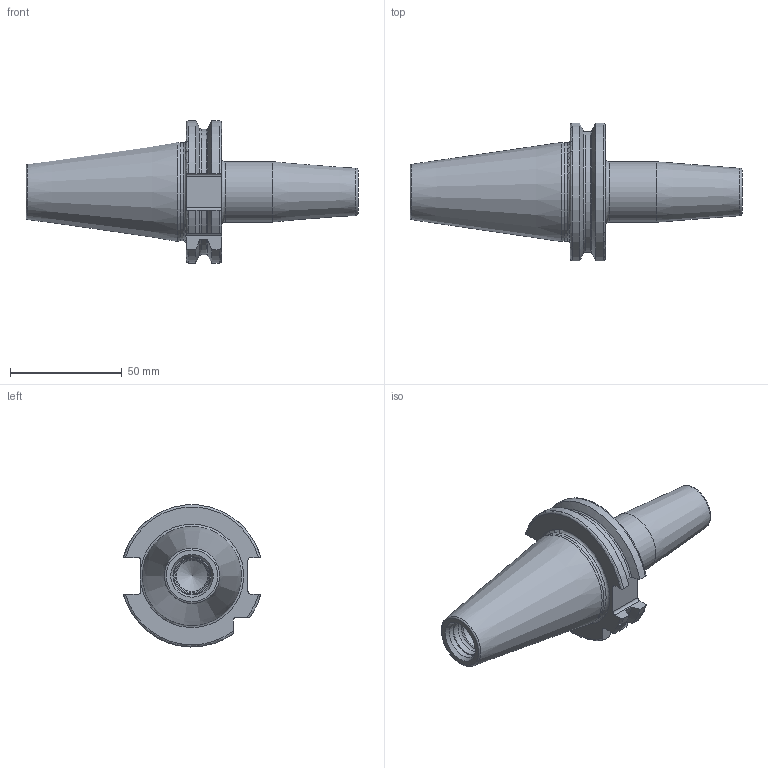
import cadquery as cq
import math

gauge_diameter = 44.45
taper_ratio = 7 / 24
shank_end_x = -68.3
taper_end_x = -0.75
shank_edge_fillet = 0.8

relief_radius = 21.9
relief_start_x = 0.55
relief_fillet = 1.2

flange_radius = 31.775
flange_back_x = 3.2
flange_front_x = 19.0
flange_width = flange_front_x - flange_back_x
flange_edge_fillet = 1.0
groove_center_x = 11.05
groove_half_width = 3.5
groove_depth = 3.7
groove_flank_angle = 26.0
groove_fillet = 0.8

nose_radius = 13.5
nose_taper_angle = 4.5
nose_tip_x = 79.95
nose_tip_radius = 10.5
nose_root_fillet = 1.6
nose_tip_fillet = 1.0

slot_width = 16.3
slot_corner_fillet = 1.2
slot_floor_plus_y = 22.8
slot_floor_minus_y = 25.0
notch_offset = 18.5
notch_corner_fillet = 1.2

mouth_radius = 9.5
mouth_chamfer_angle = 30.0
pilot_radius = 8.5
pilot_depth = 4.1
neck_radius = 8.1
core_radius = 7.0
core_start_depth = 8.8
core_end_depth = 28.0
core_cone_angle = 45.0
neck_end_fillet = 2.0
drill_tip_angle = 118.0


def taper_radius(x):
    return (gauge_diameter + taper_ratio * x) / 2


def revolve_profile(profile):
    return profile.close().revolve(360, (0, 0, 0), (1, 0, 0))


def make_shank():
    profile = (
        cq.Workplane("XY")
        .moveTo(shank_end_x, 0)
        .lineTo(shank_end_x, taper_radius(shank_end_x))
        .lineTo(taper_end_x, taper_radius(taper_end_x))
        .lineTo(relief_start_x, relief_radius)
        .lineTo(flange_back_x, relief_radius)
        .lineTo(flange_back_x, 0)
    )
    return revolve_profile(profile).faces("<X").edges().fillet(shank_edge_fillet)


def make_flange():
    disc = (
        cq.Workplane("YZ", origin=(flange_back_x, 0, 0))
        .circle(flange_radius)
        .extrude(flange_width)
        .edges()
        .fillet(flange_edge_fillet)
    )
    return disc.cut(make_groove())


def make_groove():
    floor_radius = flange_radius - groove_depth
    flank_slope = math.tan(math.radians(groove_flank_angle))
    floor_half_width = groove_half_width - groove_depth * flank_slope
    rim_margin = 1.0
    rim_radius = flange_radius + rim_margin
    rim_half_width = groove_half_width + rim_margin * flank_slope
    profile = (
        cq.Workplane("XY")
        .moveTo(groove_center_x - rim_half_width, rim_radius)
        .lineTo(groove_center_x - floor_half_width, floor_radius)
        .lineTo(groove_center_x + floor_half_width, floor_radius)
        .lineTo(groove_center_x + rim_half_width, rim_radius)
    )
    floor_edges = cq.selectors.RadiusNthSelector(0)
    return revolve_profile(profile).edges(floor_edges).fillet(groove_fillet)


def make_nose():
    taper_length = (nose_radius - nose_tip_radius) / math.tan(math.radians(nose_taper_angle))
    profile = (
        cq.Workplane("XY")
        .moveTo(flange_front_x, 0)
        .lineTo(flange_front_x, nose_radius)
        .lineTo(nose_tip_x - taper_length, nose_radius)
        .lineTo(nose_tip_x, nose_tip_radius)
        .lineTo(nose_tip_x, 0)
    )
    return revolve_profile(profile).faces(">X").edges().fillet(nose_tip_fillet)


def make_root_fillet(face_x, radius, fillet, direction):
    """Concave ring that blends a cylinder into a flange face."""
    far_x = face_x + direction * fillet
    bend = fillet * (1 - math.sqrt(0.5))
    profile = (
        cq.Workplane("XY")
        .moveTo(face_x, radius - fillet)
        .lineTo(face_x, radius + fillet)
        .threePointArc((face_x + direction * bend, radius + bend), (far_x, radius))
        .lineTo(far_x, radius - fillet)
    )
    return revolve_profile(profile)


def make_drive_slot(floor_y, side):
    """Rounded-corner cutter, half of it inside the flange rim on one side of Y."""
    depth = flange_radius - floor_y
    slot = cq.Workplane("XY").box(flange_width, 2 * depth, slot_width)
    slot = slot.edges("|X").fillet(slot_corner_fillet)
    center_x = (flange_back_x + flange_front_x) / 2
    return slot.translate((center_x, side * flange_radius, 0))


def make_orientation_notch():
    corner = (flange_back_x, -notch_offset - flange_radius, -notch_offset - flange_radius)
    block = cq.Workplane("XY").box(flange_width, flange_radius, flange_radius, centered=False)
    return block.edges("|X and >Y and >Z").fillet(notch_corner_fillet).translate(corner)


def make_bore():
    mouth_depth = (mouth_radius - pilot_radius) / math.tan(math.radians(mouth_chamfer_angle))
    tip_length = core_radius / math.tan(math.radians(drill_tip_angle / 2))

    cone_angle = math.radians(core_cone_angle)
    corner_depth = core_start_depth - (neck_radius - core_radius) / math.tan(cone_angle)
    fillet_start_depth = corner_depth - neck_end_fillet * math.tan(cone_angle / 2)

    def fillet_point(angle):
        depth = fillet_start_depth + neck_end_fillet * math.sin(angle)
        radius = neck_radius - neck_end_fillet * (1 - math.cos(angle))
        return depth, radius

    profile = (
        cq.Workplane("XY", origin=(shank_end_x, 0, 0))
        .lineTo(0, mouth_radius)
        .lineTo(mouth_depth, pilot_radius)
        .lineTo(pilot_depth, pilot_radius)
        .lineTo(pilot_depth, neck_radius)
        .lineTo(fillet_start_depth, neck_radius)
        .threePointArc(fillet_point(cone_angle / 2), fillet_point(cone_angle))
        .lineTo(core_start_depth, core_radius)
        .lineTo(core_end_depth, core_radius)
        .lineTo(core_end_depth + tip_length, 0)
    )
    return revolve_profile(profile)


result = (
    make_flange()
    .cut(make_drive_slot(slot_floor_plus_y, 1))
    .cut(make_drive_slot(slot_floor_minus_y, -1))
    .cut(make_orientation_notch())
    .union(make_shank())
    .union(make_root_fillet(flange_back_x, relief_radius, relief_fillet, -1))
    .union(make_nose())
    .union(make_root_fillet(flange_front_x, nose_radius, nose_root_fillet, 1))
    .cut(make_bore())
)